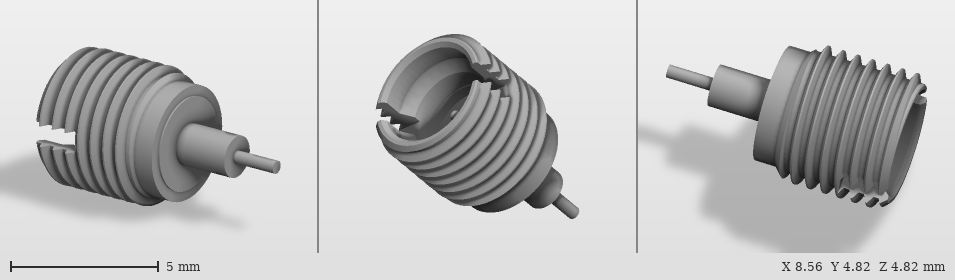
import cadquery as cq

total_length = 8.56
thread_end = 4.06
body_end = 4.81
rear_step_end = 4.88
insulator_end = 6.9
slot_depth = 1.67
mouth_end = 0.89
throat_start = 1.37
groove_start = 2.14
groove_width = 0.08
socket_depth = 2.65
pin_tip = 1.515

crest_radius = 2.41
root_radius = 2.12
collar_radius = 2.03
front_face_radius = 2.08
rear_step_radius = 1.66
insulator_radius = 0.74
pin_radius = 0.45 / 2
contact_radius = 0.2
mouth_radius = 1.8
throat_radius = 1.515
groove_radius = 1.54

pitch = 0.53
crest_flat = 0.06
root_flat = 0.19
thread_overlap = 0.05
trim_clearance = 0.17
mouth_chamfer = 0.145
slot_width = 0.74


def cylinder(start, end, radius):
    """Cylinder on the X axis between two stations."""
    return cq.Workplane("YZ").workplane(offset=start).circle(radius).extrude(end - start)


def revolve_about_x(points):
    """Revolve a closed (x, radius) outline about the X axis."""
    return cq.Workplane("XY").polyline(points).close().revolve(360, (0, 0, 0), (1, 0, 0))


def thread_ridge():
    """Right-handed helical ridge that overruns both ends of the threaded length."""
    flank_width = (pitch - crest_flat - root_flat) / 2
    base_radius = root_radius - thread_overlap
    flank_slope = flank_width / (crest_radius - root_radius)
    half_crest = crest_flat / 2
    half_base = half_crest + flank_slope * (crest_radius - base_radius)
    helix = cq.Wire.makeHelix(pitch, thread_end + 2 * pitch, root_radius)
    ridge = (
        cq.Workplane("XZ")
        .polyline([
            (base_radius, -half_base),
            (crest_radius, -half_crest),
            (crest_radius, half_crest),
            (base_radius, half_base),
        ])
        .close()
        .sweep(cq.Workplane(obj=helix), isFrenet=True)
    )
    return ridge.rotate((0, 0, 0), (0, 1, 0), 90).translate((-pitch, 0, 0))


def threaded_barrel():
    """Threaded length trimmed by 45 degree lead-ins at both ends."""
    trim_radius = crest_radius + trim_clearance
    front_lead = trim_radius - front_face_radius
    rear_lead = trim_radius - collar_radius
    envelope = revolve_about_x([
        (0, 0),
        (0, front_face_radius),
        (front_lead, trim_radius),
        (thread_end - rear_lead, trim_radius),
        (thread_end, collar_radius),
        (thread_end, 0),
    ])
    core = cylinder(-2 * pitch, thread_end + 2 * pitch, root_radius)
    return core.union(thread_ridge()).intersect(envelope)


def socket():
    """Chamfered mouth that tapers into a narrower blind throat."""
    return revolve_about_x([
        (0, 0),
        (0, mouth_radius + mouth_chamfer),
        (mouth_chamfer, mouth_radius),
        (mouth_end, mouth_radius),
        (throat_start, throat_radius),
        (socket_depth, throat_radius),
        (socket_depth, 0),
    ])


def throat_groove():
    """Fine ring groove in the throat wall, cut as a disc across the open throat."""
    return cylinder(groove_start, groove_start + groove_width, groove_radius)


def driver_slot():
    """Slot across the mouth, open on both Y sides."""
    return cq.Workplane("XY").box(slot_depth, 2 * crest_radius, slot_width).translate((slot_depth / 2, 0, 0))


def contact_pin():
    """Round-ended contact standing on the socket floor."""
    tip_center = pin_tip + contact_radius
    shank = cylinder(tip_center, body_end, contact_radius)
    tip = cq.Workplane("XY").sphere(contact_radius).translate((tip_center, 0, 0))
    return shank.union(tip)


body = threaded_barrel().union(cylinder(thread_end, body_end, collar_radius))
body = body.cut(socket()).cut(throat_groove()).cut(driver_slot())
body = body.union(cylinder(body_end, rear_step_end, rear_step_radius))
body = body.union(cylinder(rear_step_end, insulator_end, insulator_radius))
body = body.union(cylinder(insulator_end, total_length, pin_radius))
result = body.union(contact_pin())